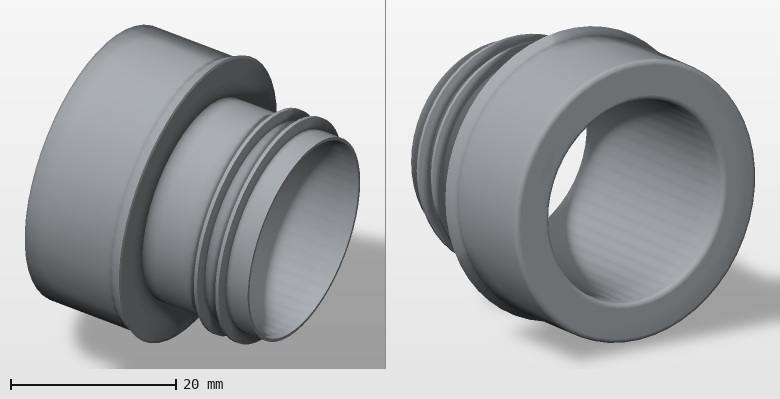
import cadquery as cq

total_length = 29.0
flare_start = 12.48
flare_tip = 14.02
body_end = 14.13
ring_centers = (22.5, 25.5)

bore_diameter = 25.4
neck_diameter = 26.2
body_diameter = 35.4
flare_diameter = 36.8
flare_back_diameter = 36.15
ring_diameter = 29.07

ring_base_width = 1.03
ring_tip_width = 0.45
front_fillet = 0.63


def cylinder(diameter, start, end):
    """Solid cylinder on the X axis between two axial positions."""
    return cq.Workplane("YZ", origin=(start, 0, 0)).circle(diameter / 2).extrude(end - start)


def revolve_profile(points):
    """Revolve a closed (axial, radial) outline about the X axis."""
    return cq.Workplane("XY").polyline(points).close().revolve(360, (0, 0, 0), (1, 0, 0))


def flared_body():
    """Wide body with a lip flaring outward at its rear end."""
    return revolve_profile([
        (0, 0),
        (0, body_diameter / 2),
        (flare_start, body_diameter / 2),
        (flare_tip, flare_diameter / 2),
        (body_end, flare_back_diameter / 2),
        (body_end, 0),
    ])


def sealing_ring(center):
    """Tapered ring standing on the neck, rooted in the tube wall."""
    neck_radius = neck_diameter / 2
    root_radius = (bore_diameter + neck_diameter) / 4
    half_base = ring_base_width / 2
    half_tip = ring_tip_width / 2
    return revolve_profile([
        (center - half_base, root_radius),
        (center - half_base, neck_radius),
        (center - half_tip, ring_diameter / 2),
        (center + half_tip, ring_diameter / 2),
        (center + half_base, neck_radius),
        (center + half_base, root_radius),
    ])


part = flared_body().union(cylinder(neck_diameter, 0, total_length))
for ring_center in ring_centers:
    part = part.union(sealing_ring(ring_center))

part = part.cut(cylinder(bore_diameter, 0, total_length))
result = part.faces("<X").edges().fillet(front_fillet)